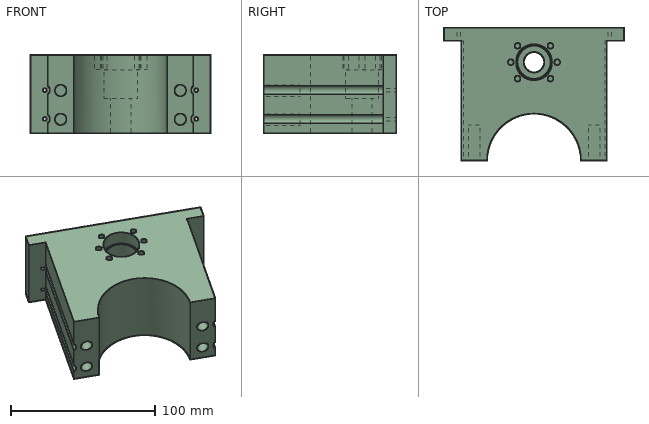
import cadquery as cq

flange_width = 125.0
body_width = 101.0
depth = 92.2
height = 54.5
flange_thickness = 9.2

recess_diameter = 65.0

bore_y = depth - 24.0
seat_diameter = 25.0
seat_depth = 10.5
pocket_diameter = 23.0
pocket_depth = 30.0
through_diameter = 14.0
screw_circle_radius = 16.1
screw_diameter = 4.0
screw_depth = 10.0
screw_angles = (0, 45, 135, 180, 225, 315)

groove_x = 52.5
groove_levels = (10.0, 30.0)
groove_diameter = 7.0
flange_hole_diameter = 2.5

front_hole_x = 41.5
front_hole_levels = (9.8, 29.8)
front_hole_diameter = 8.0
front_hole_depth = 25.0


def rod_along_y(x, z, diameter, length):
    """Cylinder running from the front face toward +Y."""
    return cq.Workplane("XZ").center(x, z).circle(diameter / 2).extrude(-length)


def rod_down(x, y, diameter, length):
    """Cylinder running down from the top face."""
    return cq.Workplane("XY", origin=(x, y, height)).circle(diameter / 2).extrude(-length)


body_depth = depth - flange_thickness
body = cq.Workplane("XY").box(body_width, depth, height, centered=(True, False, False))
flange = (
    cq.Workplane("XY", origin=(0, body_depth, 0))
    .box(flange_width, flange_thickness, height, centered=(True, False, False))
)
result = body.union(flange)

result = result.cut(rod_down(0, 0, recess_diameter, height))

bore_steps = (
    (seat_diameter, seat_depth),
    (pocket_diameter, pocket_depth),
    (through_diameter, height),
)
for diameter, step_depth in bore_steps:
    result = result.cut(rod_down(0, bore_y, diameter, step_depth))

screw_hole = (
    cq.Workplane("XY", origin=(0, bore_y, height))
    .center(screw_circle_radius, 0)
    .circle(screw_diameter / 2)
    .extrude(-screw_depth)
)
for angle in screw_angles:
    result = result.cut(screw_hole.rotate((0, bore_y, 0), (0, bore_y, 1), angle))

for side in (-1, 1):
    for level in groove_levels:
        result = result.cut(rod_along_y(side * groove_x, level, groove_diameter, body_depth))
        result = result.cut(rod_along_y(side * groove_x, level, flange_hole_diameter, depth))
    for level in front_hole_levels:
        result = result.cut(
            rod_along_y(side * front_hole_x, level, front_hole_diameter, front_hole_depth)
        )